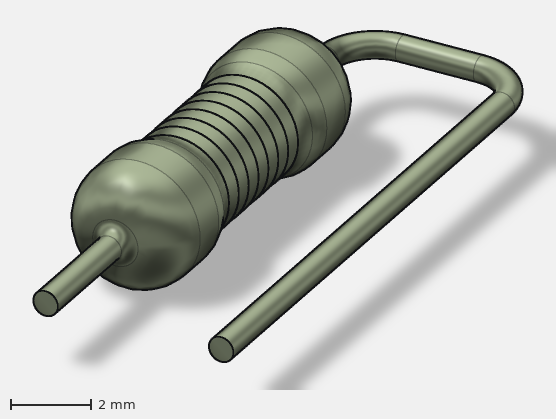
import cadquery as cq
import math


wire_radius = 0.7 / 2
lead_pitch = 5.0
bend_radius = 1.39
total_length = 16.35
lead_end_y = -8.62
bend_top_y = lead_end_y + total_length - wire_radius
bend_start_y = bend_top_y - bend_radius

cap_radius = 3.5 / 2
core_radius = 2.98 / 2
dome_radius = 1.23
dome_start_y = 3.78
shoulder_outer_y = 2.81
shoulder_inner_y = 1.8
neck_fillet = 0.33

band_radius = 3.0 / 2
band_count = 4
band_width = 2 * shoulder_inner_y / (2 * band_count - 1)


def make_body():
    """Revolve the profile of both caps and the core about the Y axis."""
    dome_center_x = cap_radius - dome_radius
    neck_center_x = wire_radius + neck_fillet
    center_distance = dome_radius + neck_fillet
    center_offset_x = neck_center_x - dome_center_x
    center_offset_y = math.sqrt(center_distance**2 - center_offset_x**2)
    neck_end_y = dome_start_y + center_offset_y
    dome_share = dome_radius / center_distance
    dome_end_x = dome_center_x + dome_share * center_offset_x
    dome_end_y = dome_start_y + dome_share * center_offset_y

    neck_half_angle = math.acos(center_offset_x / center_distance) / 2
    neck_middle_x = neck_center_x - neck_fillet * math.cos(neck_half_angle)
    neck_middle_y = neck_end_y - neck_fillet * math.sin(neck_half_angle)

    shoulder_middle_x = (core_radius + cap_radius) / 2
    shoulder_middle_y = (shoulder_inner_y + shoulder_outer_y) / 2

    profile = (
        cq.Workplane("XY")
        .moveTo(core_radius, -shoulder_inner_y)
        .lineTo(core_radius, shoulder_inner_y)
        .tangentArcPoint((shoulder_middle_x, shoulder_middle_y), relative=False)
        .tangentArcPoint((cap_radius, shoulder_outer_y), relative=False)
        .lineTo(cap_radius, dome_start_y)
        .tangentArcPoint((dome_end_x, dome_end_y), relative=False)
        .tangentArcPoint((wire_radius, neck_end_y), relative=False)
        .lineTo(0, neck_end_y)
        .lineTo(0, -neck_end_y)
        .lineTo(wire_radius, -neck_end_y)
        .threePointArc((neck_middle_x, -neck_middle_y), (dome_end_x, -dome_end_y))
        .tangentArcPoint((cap_radius, -dome_start_y), relative=False)
        .lineTo(cap_radius, -shoulder_outer_y)
        .tangentArcPoint((shoulder_middle_x, -shoulder_middle_y), relative=False)
        .tangentArcPoint((core_radius, -shoulder_inner_y), relative=False)
        .close()
    )
    return profile.revolve(360, (0, 0), (0, 1))


def make_band(index):
    """Make one slightly raised ring of the core, counted from the -Y end."""
    start_y = -shoulder_inner_y + 2 * index * band_width
    return (
        cq.Workplane("XZ", origin=(0, start_y, 0))
        .circle(band_radius)
        .extrude(-band_width)
    )


def make_wire():
    """Sweep the wire through the body, over both bends and back."""
    path = (
        cq.Workplane("XY")
        .moveTo(0, lead_end_y)
        .lineTo(0, bend_start_y)
        .tangentArcPoint((bend_radius, bend_top_y), relative=False)
        .lineTo(lead_pitch - bend_radius, bend_top_y)
        .tangentArcPoint((lead_pitch, bend_start_y), relative=False)
        .lineTo(lead_pitch, lead_end_y)
    )
    return cq.Workplane("XZ", origin=(0, lead_end_y, 0)).circle(wire_radius).sweep(path)


result = make_body()
for band_index in range(band_count):
    result = result.union(make_band(band_index))
result = result.union(make_wire())